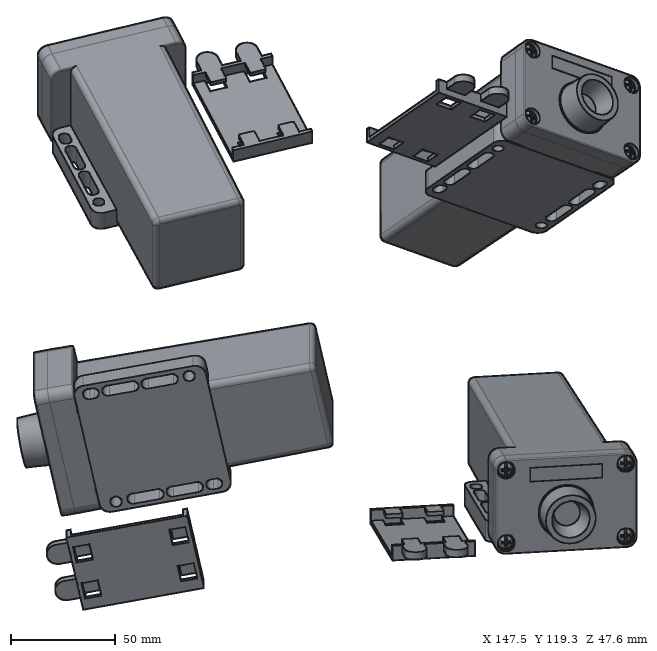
import cadquery as cq
height = 47.6
draft = 0.5
mid_z = height / 2
cable_length = 12.5
housing_length = 147.5 - cable_length

flange_width = 68.9
flange_thickness = 19.2
cover_thickness = 6.8
flange_corner = 5.2
flange_edge = 0.6

box_width = 48.7
box_corner = 3.1
box_end_round = 2.5

lug_width = 69.9
lug_start = flange_thickness
lug_length = 64.0
lug_height = 10.3
lug_corner = 5.2
hole_size = 5.5
hole_offset_y = 30.0
hole_pitch = 48.0
short_slot_length = 7.7
long_slot_length = 17.7
long_slot_pitch = 19.2

entry_z = 19.8
entry_tip_radius = 12.1
entry_root_radius = 13.0
entry_root_flare = 0.5
bore_mouth_radius = 9.1
bore_floor_radius = 6.3
bore_depth = 10.3

screw_pitch_y = 58.1
screw_pitch_z = 36.6
screw_hole_radius = 4.1
screw_hole_depth = 2.4
head_radius = 3.5
head_rim = 0.6
head_dome = 1.2
drive_width = 1.0
drive_length = 4.4
drive_depth = 1.0

label_width = 35.0
label_height = 7.0
label_z = 39.2
label_depth = 0.1

clip_length = 59.0
clip_width = 40.1
clip_height = 7.4
clip_mid_y = 64.3
clip_wall = 2.0
arm_pitch = 20.0
tab_bottom = 3.5
hook_width = 8.0
hook_reach = 7.7
hook_corner = 0.7
window_gap = 0.3
tab_width = 10.6
tab_reach = 11.5


def block(x, y, z, length, width, tall):
    """Block that starts at x and z and is centred on y."""
    return cq.Workplane("XY").box(length, width, tall, centered=(False, True, False)).translate((x, y, z))


def drafted_block(start_x, length, width):
    """Full-height block along X from start_x; all four sides lean inwards away from start_x."""
    section = cq.Workplane("YZ", origin=(start_x, 0, mid_z)).rect(width, height)
    return section.extrude(length, taper=draft)


def make_flange():
    cover = drafted_block(cover_thickness, -cover_thickness, flange_width)
    cover = cover.edges("not(<X or >X)").fillet(flange_corner)
    cover = cover.faces("<X").edges().fillet(flange_edge)
    collar = drafted_block(cover_thickness, flange_thickness - cover_thickness, flange_width)
    collar = collar.edges("not(<X or >X)").fillet(flange_corner)
    collar = collar.faces(">X").edges().fillet(flange_edge)
    return cover.union(collar)


def make_box():
    box = drafted_block(cover_thickness, housing_length - cover_thickness, box_width)
    box = box.edges("not(<X or >X)").fillet(box_corner)
    return box.faces(">X").edges().fillet(box_end_round)


def make_lugs():
    """Both mounting lugs as one slab that passes under the box; the two hole rows run in opposite order."""
    mid_x = lug_start + lug_length / 2
    lugs = block(lug_start, 0, 0, lug_length, lug_width, lug_height)
    lugs = lugs.edges("|Z").fillet(lug_corner)
    for side in (-1, 1):
        y = side * hole_offset_y
        round_hole = (
            cq.Workplane("XY")
            .center(mid_x - side * hole_pitch / 2, y)
            .circle(hole_size / 2)
            .extrude(lug_height)
        )
        short_slot = (
            cq.Workplane("XY")
            .center(mid_x + side * hole_pitch / 2, y)
            .slot2D(short_slot_length, hole_size)
            .extrude(lug_height)
        )
        long_slots = (
            cq.Workplane("XY")
            .pushPoints([(mid_x + step * long_slot_pitch / 2, y) for step in (-1, 1)])
            .slot2D(long_slot_length, hole_size)
            .extrude(lug_height)
        )
        lugs = lugs.cut(round_hole).cut(short_slot).cut(long_slots)
    return lugs


def revolve_about_x(profile, y, z):
    """Turn an open (x, radius) profile about the X direction through (y, z)."""
    return profile.close().revolve(360, (0, 0, 0), (1, 0, 0)).translate((0, y, z))


def make_cable_entry():
    profile = (
        cq.Workplane("XZ")
        .moveTo(-cable_length, 0)
        .lineTo(-cable_length, entry_tip_radius)
        .lineTo(-entry_root_flare, entry_root_radius)
        .lineTo(0, entry_root_radius + entry_root_flare)
        .lineTo(flange_edge, entry_root_radius + entry_root_flare)
        .lineTo(flange_edge, 0)
    )
    return revolve_about_x(profile, 0, entry_z)


def make_cable_bore():
    profile = (
        cq.Workplane("XZ")
        .moveTo(-cable_length, 0)
        .lineTo(-cable_length, bore_mouth_radius)
        .lineTo(bore_depth - cable_length, bore_floor_radius)
        .lineTo(bore_depth - cable_length, 0)
    )
    return revolve_about_x(profile, 0, entry_z)


def make_screw_recess(y, z):
    """Round pocket with a domed, cross-slotted screw head left standing on its floor."""
    pocket = cq.Workplane("YZ", origin=(0, y, z)).circle(screw_hole_radius).extrude(screw_hole_depth)
    rim_x = screw_hole_depth - head_rim
    top_x = rim_x - head_dome
    dome_radius = (head_radius**2 + head_dome**2) / (2 * head_dome)
    mid_radius = head_radius / 2
    mid_x = top_x + dome_radius - (dome_radius**2 - mid_radius**2) ** 0.5
    head_profile = (
        cq.Workplane("XZ")
        .moveTo(screw_hole_depth, 0)
        .lineTo(screw_hole_depth, head_radius)
        .lineTo(rim_x, head_radius)
        .threePointArc((mid_x, mid_radius), (top_x, 0))
    )
    head = revolve_about_x(head_profile, y, z)
    slot = block(top_x, 0, -head_radius, drive_depth, drive_width, 2 * head_radius)
    cross_arm = block(top_x, 0, -drive_width / 2, drive_depth, drive_length, drive_width)
    drive = slot.union(cross_arm).translate((0, y, z))
    return pocket.cut(head.cut(drive))


def make_housing():
    housing = make_flange().union(make_box()).union(make_lugs()).union(make_cable_entry())
    housing = housing.cut(make_cable_bore())
    for side_y in (-1, 1):
        for side_z in (-1, 1):
            recess = make_screw_recess(side_y * screw_pitch_y / 2, mid_z + side_z * screw_pitch_z / 2)
            housing = housing.cut(recess)
    label = block(0, 0, label_z - label_height / 2, label_depth, label_width, label_height)
    return housing.cut(label)


def make_clip():
    inner_length = clip_length - 2 * clip_wall
    clip = block(0, 0, 0, clip_length, clip_width, clip_height)
    clip = clip.cut(block(clip_wall, 0, clip_wall, inner_length, clip_width, clip_height))

    hook_bottom = clip_height - clip_wall
    tab_height = clip_height - tab_bottom
    hook_span = clip_wall + hook_reach
    window_length = hook_reach + window_gap
    window_width = hook_width + 2 * window_gap
    far_window_x = clip_length - clip_wall - window_length
    for y in (-arm_pitch / 2, arm_pitch / 2):
        for window_x in (clip_wall, far_window_x):
            clip = clip.cut(block(window_x, y, 0, window_length, window_width, clip_wall))

        front_hook = block(0, y, hook_bottom, hook_span, hook_width, clip_wall)
        front_hook = front_hook.edges("|Z and >X").fillet(hook_corner)
        rear_hook = block(clip_length - hook_span, y, hook_bottom, hook_span, hook_width, clip_wall)
        rear_hook = rear_hook.edges("|Z and <X").fillet(hook_corner)
        tab_round = tab_width / 2
        tab = block(tab_round - tab_reach, y, tab_bottom, tab_reach - tab_round, tab_width, tab_height)
        tab_end = (
            cq.Workplane("XY", origin=(tab_round - tab_reach, y, tab_bottom))
            .circle(tab_round)
            .extrude(tab_height)
        )
        clip = clip.union(front_hook).union(rear_hook).union(tab).union(tab_end)
    return clip.translate((0, clip_mid_y, 0))


housing = make_housing()
clip = make_clip()
result = cq.Compound.makeCompound([housing.val(), clip.val()])